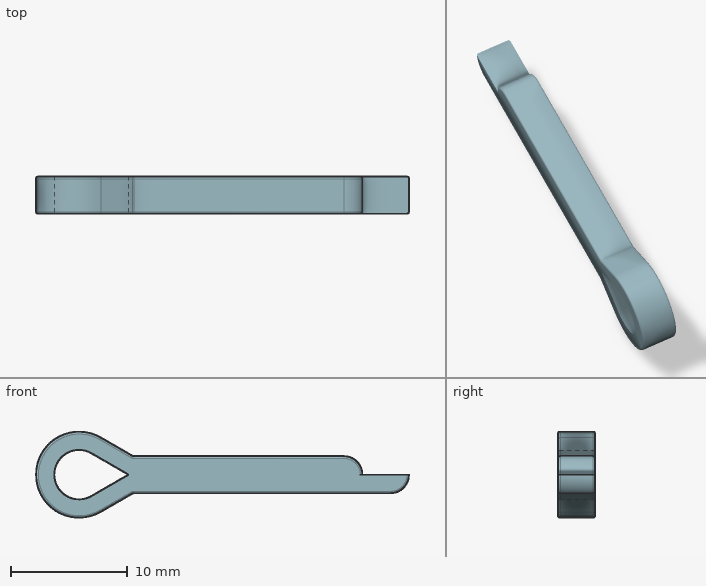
import cadquery as cq
import math

total_length = 32.0
width = 3.2
shank_height = 3.2
eye_diameter = 7.4
eye_radius = eye_diameter / 2
leg_thickness = shank_height / 2
hole_radius = 2.1
neck_angle = math.radians(30)
short_leg_setback = 4.0
tip_radius = leg_thickness
neck_radius = 0.2
edge_round = 0.2

long_end = total_length - eye_radius
short_end = long_end - short_leg_setback
half_height = shank_height / 2


def tangent_point(radius):
    """Upper point where a circle of this radius meets the sloping side."""
    return radius * math.sin(neck_angle), radius * math.cos(neck_angle)


def side_x(radius, z):
    """X of the sloping side at height z, for the side tangent to this radius."""
    return (radius - z * math.cos(neck_angle)) / math.sin(neck_angle)


def tip_middle(end_x, side):
    """Middle point of a leg-end arc; side is 1 for the upper leg, -1 for the lower."""
    reach = tip_radius * math.sqrt(0.5)
    return end_x - tip_radius + reach, side * reach


def make_body():
    tangent_x, tangent_z = tangent_point(eye_radius)
    neck_x = side_x(eye_radius, half_height)
    return (
        cq.Workplane("XZ")
        .moveTo(tangent_x, tangent_z)
        .lineTo(neck_x, half_height)
        .lineTo(short_end - tip_radius, half_height)
        .threePointArc(tip_middle(short_end, 1), (short_end, 0))
        .lineTo(long_end, 0)
        .threePointArc(tip_middle(long_end, -1), (long_end - tip_radius, -half_height))
        .lineTo(neck_x, -half_height)
        .lineTo(tangent_x, -tangent_z)
        .threePointArc((-eye_radius, 0), (tangent_x, tangent_z))
        .close()
        .extrude(width / 2, both=True)
    )


def blend_neck(body):
    neck_x = side_x(eye_radius, half_height)
    upper_edge = cq.selectors.NearestToPointSelector((neck_x, 0, half_height))
    lower_edge = cq.selectors.NearestToPointSelector((neck_x, 0, -half_height))
    neck_edges = cq.selectors.SumSelector(upper_edge, lower_edge)
    return body.edges("|Y").edges(neck_edges).fillet(neck_radius)


def round_outer_edges(body):
    step_middle = (short_end + long_end) / 2
    margin = 0.32
    step_edges = cq.selectors.BoxSelector(
        (step_middle - margin, -width, -margin), (step_middle + margin, width, margin)
    )
    all_edges = cq.selectors.StringSyntaxSelector("%LINE or %CIRCLE")
    outer_edges = cq.selectors.SubtractSelector(all_edges, step_edges)
    return body.faces("<Y or >Y").edges(outer_edges).fillet(edge_round)


def make_eye_hole():
    tangent_x, tangent_z = tangent_point(hole_radius)
    return (
        cq.Workplane("XZ")
        .moveTo(tangent_x, tangent_z)
        .lineTo(side_x(hole_radius, 0), 0)
        .lineTo(tangent_x, -tangent_z)
        .threePointArc((-hole_radius, 0), (tangent_x, tangent_z))
        .close()
        .extrude(width, both=True)
    )


body = round_outer_edges(blend_neck(make_body()))
result = body.cut(make_eye_hole())